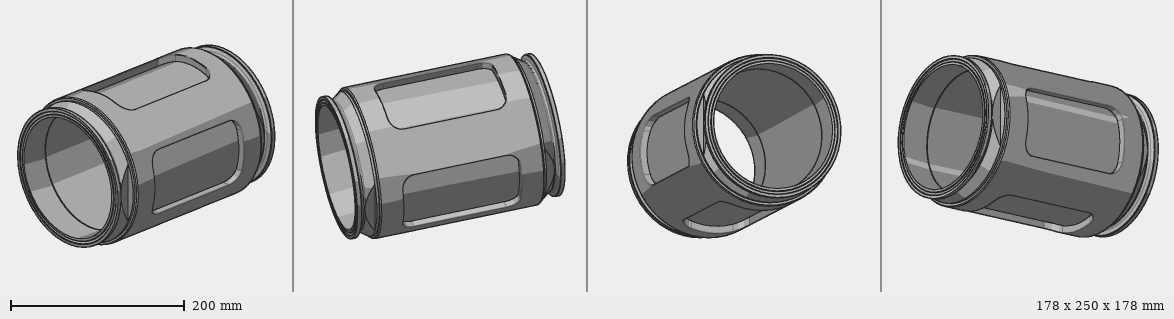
import cadquery as cq
import math


length = 250.0
body_diameter = 178.0
bore_diameter = 146.5
glass_diameter = 161.0

flange_radius = 83.8
flange_edge = 4.8
flange_chamfer = 0.8
flange_back_angle = 20.0
neck_radius = 76.8
back_round = 2.8
cone_round = 3.0
cone_angle = 35.0

groove_radius = 78.2
groove_width = 4.2
groove_chamfer = 0.8
groove_depth = 2.0

shoulder_radius = 85.2
body_start = 25.8
body_chamfer_length = 1.8
body_chamfer_depth = 1.0
flat_offset = 77.0

window_length = 141.5
window_width = 81.0
window_corner = 15.0
window_rim_fillet = 0.5
window_count = 4
recess_length = 182.5
glass_end_gap = 1.0

half_length = length / 2
body_radius = body_diameter / 2
body_y = half_length - body_start
bore_radius = bore_diameter / 2
glass_radius = glass_diameter / 2
glass_length = recess_length - 2 * glass_end_gap
tolerance = 0.02


def cylinder(radius, height):
    """Solid cylinder along Y, centred on the origin."""
    section = cq.Workplane("YZ").center(0, radius / 2).rect(height, radius)
    return section.revolve(360, (0, -radius / 2, 0), (1, -radius / 2, 0))


def middle_body():
    """Solid middle cylinder with chamfered ends."""
    rim_radius = body_radius - body_chamfer_depth
    chamfer_y = body_y - body_chamfer_length
    return (
        cq.Workplane("YZ")
        .moveTo(-body_y, 0)
        .lineTo(-body_y, rim_radius)
        .lineTo(-chamfer_y, body_radius)
        .lineTo(chamfer_y, body_radius)
        .lineTo(body_y, rim_radius)
        .lineTo(body_y, 0)
        .close()
        .revolve(360, (0, 0, 0), (1, 0, 0))
    )


def solid_ferrule():
    """Solid +Y end of the housing: shoulder, cone, rounded neck and clamp flange."""
    back_slope = math.radians(flange_back_angle)
    cone_slope = math.radians(cone_angle)
    edge_y = half_length - flange_edge
    back_y = edge_y - flange_chamfer
    back_radius = flange_radius - flange_chamfer

    back_end_radius = neck_radius + back_round * (1 - math.sin(back_slope))
    back_end_y = back_y - (back_radius - back_end_radius) * math.tan(back_slope)
    neck_y = back_end_y - back_round * math.cos(back_slope)
    back_angle = math.pi / 2 - back_slope

    def on_round(round_radius, angle):
        """Point on a neck round, at an angle from the neck towards the end face."""
        return (
            neck_y + round_radius * math.sin(angle),
            neck_radius + round_radius * (1 - math.cos(angle)),
        )

    cone_y, cone_radius = on_round(cone_round, -cone_slope)
    shoulder_y = cone_y - (shoulder_radius - cone_radius) / math.tan(cone_slope)

    ferrule = (
        cq.Workplane("YZ")
        .moveTo(body_y, 0)
        .lineTo(half_length, 0)
        .lineTo(half_length, flange_radius)
        .lineTo(edge_y, flange_radius)
        .lineTo(back_y, back_radius)
        .lineTo(back_end_y, back_end_radius)
        .threePointArc(on_round(back_round, back_angle / 2), (neck_y, neck_radius))
        .threePointArc(on_round(cone_round, -cone_slope / 2), (cone_y, cone_radius))
        .lineTo(shoulder_y, shoulder_radius)
        .lineTo(body_y, shoulder_radius)
        .close()
        .revolve(360, (0, 0, 0), (1, 0, 0))
    )
    return ferrule.cut(cone_flats(shoulder_y, neck_y))


def cone_flats(inner_y, outer_y):
    """Material beyond the flats on the +X and -X sides of the +Y cone."""
    depth = shoulder_radius - flat_offset
    cutter = cq.Workplane("XY").box(depth, outer_y - inner_y, 2 * shoulder_radius)
    middle_x = flat_offset + depth / 2
    middle_y = (inner_y + outer_y) / 2
    positive_side = cutter.translate((middle_x, middle_y, 0))
    return positive_side.add(cutter.translate((-middle_x, middle_y, 0)))


def gasket_grooves():
    """Ring grooves with a rounded floor and chamfered rims in both end faces."""
    floor_y = half_length - groove_depth
    chamfer_y = half_length - groove_chamfer
    rim = groove_width / 2
    throat = rim - groove_chamfer
    groove = (
        cq.Workplane("YZ")
        .moveTo(half_length, groove_radius - rim)
        .lineTo(chamfer_y, groove_radius - throat)
        .threePointArc((floor_y, groove_radius), (chamfer_y, groove_radius + throat))
        .lineTo(half_length, groove_radius + rim)
        .close()
        .revolve(360, (0, 0, 0), (1, 0, 0))
    )
    return groove.union(groove.mirror("XZ"))


def window(index):
    """Cutter for one rounded window, turned about the flow axis."""
    cutter = (
        cq.Workplane("XY")
        .rect(window_width, window_length)
        .extrude(body_diameter)
        .edges("|Z")
        .fillet(window_corner)
    )
    return cutter.rotate((0, 0, 0), (0, 1, 0), index * 360 / window_count)


def is_window_rim(edge):
    """True for an edge on the body's outside that bounds a window."""
    middle = edge.positionAt(0.5)
    on_outside = abs(math.hypot(middle.x, middle.z) - body_radius) < tolerance
    return on_outside and abs(middle.y) < window_length / 2 + tolerance


def make_housing():
    """Housing with ferrules, bore, glass recess, rounded windows and gasket grooves."""
    ferrule = solid_ferrule()
    body = middle_body().union(ferrule).union(ferrule.mirror("XZ"))
    body = body.cut(cylinder(bore_radius, length))
    body = body.cut(cylinder(glass_radius, recess_length))
    for index in range(window_count):
        body = body.cut(window(index))
    body = body.edges().filter(is_window_rim).fillet(window_rim_fillet)
    return body.cut(gasket_grooves())


def make_glass():
    """Glass tube, flush with the housing bore."""
    return cylinder(glass_radius, glass_length).cut(cylinder(bore_radius, glass_length))


housing = make_housing()
glass = make_glass()

result = cq.Compound.makeCompound([housing.val(), glass.val()])